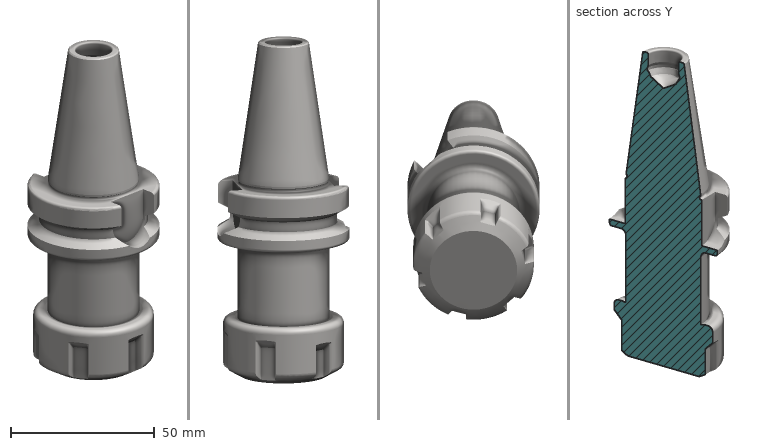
import cadquery as cq
import math


gauge_radius = 31.75 / 2
taper_length = 48.4
taper_slope = 7 / 48
tip_radius = gauge_radius - taper_slope * taper_length
tip_chamfer = 0.4
taper_land_bottom = -0.7
relief_radius = 15.4
relief_top = -1.0
relief_fillet = 0.7

flange_radius = 23.0
flange_top = -2.0
flange_bottom = -22.0
flange_fillet = 1.1

groove_center = -13.6
groove_floor_radius = 19.0
groove_floor_half_width = 1.75
groove_flank_angle = 30
groove_flank_height = (flange_radius - groove_floor_radius) * math.tan(math.radians(groove_flank_angle))
groove_half_width = groove_floor_half_width + groove_flank_height

drive_slot_width = 16.1
drive_slot_floor = 16.3
drive_slot_depth = 17.5

neck_radius = 16.0
neck_fillet = 2.0
bottom = -70.0

nut_radius = 21.0
nut_top = -49.4
nut_top_fillet = 2.1
nut_mouth_radius = 17.2
nut_mouth_depth = 0.3
nut_face_radius = 15.2
nut_cone_angle = 30
nut_cone_top = bottom + (nut_radius - nut_face_radius) * math.tan(math.radians(nut_cone_angle))
nut_bottom_fillet = 2.0

spanner_slot_count = 6
spanner_floor_radius = 17.8
spanner_floor_width = 5.2
spanner_wall_width = 6.4
spanner_bevel = 0.5
spanner_mouth_width = spanner_wall_width + 2 * spanner_bevel
spanner_bevel_top = math.sqrt(nut_radius**2 - (spanner_mouth_width / 2) ** 2)
spanner_long_drop = 7.5
spanner_short_drop = 9.3
spanner_end_angle = 45
spanner_cutter_overlap = 1.0
spanner_end_fillet = 0.6

bore_radius = 6.35
bore_mouth_fillet = 0.65
bore_groove_radius = 6.75
bore_groove_start = 4.8
bore_groove_full = 5.9
bore_depth = 7.0
core_radius = 5.25
center_half_angle = 30
drill_half_angle = 60


def make_body():
    """Revolve the taper, the grooved flange and the neck as one profile."""
    profile = (
        cq.Workplane("XZ")
        .moveTo(0, bottom)
        .lineTo(nut_face_radius, bottom)
        .lineTo(neck_radius, nut_top - nut_mouth_depth)
        .lineTo(neck_radius, flange_bottom - neck_fillet)
        .radiusArc((neck_radius + neck_fillet, flange_bottom), neck_fillet)
        .lineTo(flange_radius - flange_fillet, flange_bottom)
        .radiusArc((flange_radius, flange_bottom + flange_fillet), -flange_fillet)
        .lineTo(flange_radius, groove_center - groove_half_width)
        .lineTo(groove_floor_radius, groove_center - groove_floor_half_width)
        .lineTo(groove_floor_radius, groove_center + groove_floor_half_width)
        .lineTo(flange_radius, groove_center + groove_half_width)
        .lineTo(flange_radius, flange_top - flange_fillet)
        .radiusArc((flange_radius - flange_fillet, flange_top), -flange_fillet)
        .lineTo(relief_radius + relief_fillet, flange_top)
        .radiusArc((relief_radius, flange_top + relief_fillet), relief_fillet)
        .lineTo(relief_radius, relief_top)
        .lineTo(gauge_radius, taper_land_bottom)
        .lineTo(gauge_radius, 0)
        .lineTo(tip_radius + taper_slope * tip_chamfer, taper_length - tip_chamfer)
        .lineTo(tip_radius - tip_chamfer, taper_length)
        .lineTo(0, taper_length)
        .close()
    )
    return profile.revolve(360, (0, 0, 0), (0, 1, 0))


def make_nut():
    """Revolve the nut, then round its top edge and its lower shoulder."""
    outline = [
        (0, bottom),
        (nut_face_radius, bottom),
        (nut_radius, nut_cone_top),
        (nut_radius, nut_top),
        (nut_mouth_radius, nut_top),
        (neck_radius, nut_top - nut_mouth_depth),
        (0, nut_top - nut_mouth_depth),
    ]
    nut = cq.Workplane("XZ").polyline(outline).close().revolve(360, (0, 0, 0), (0, 1, 0))
    widest = cq.selectors.RadiusNthSelector(-1)
    nut = nut.edges("%CIRCLE").edges(widest).edges("<Z").fillet(nut_bottom_fillet)
    return nut.faces(">Z").edges("%CIRCLE").edges(widest).fillet(nut_top_fillet)


def make_spanner_slot(drop):
    """Cutter for a spanner slot on the +X side: tapered walls, bevelled edges, sloping rounded end."""
    outer = nut_radius + spanner_cutter_overlap
    bevel_start = spanner_bevel_top - spanner_bevel
    outer_half_width = spanner_mouth_width / 2 + outer - spanner_bevel_top
    section = [
        (spanner_floor_radius, -spanner_floor_width / 2),
        (bevel_start, -spanner_wall_width / 2),
        (outer, -outer_half_width),
        (outer, outer_half_width),
        (bevel_start, spanner_wall_width / 2),
        (spanner_floor_radius, spanner_floor_width / 2),
    ]
    cutter = cq.Workplane("XY").workplane(offset=bottom).polyline(section).close().extrude(nut_top - bottom)
    end_height = nut_top - drop
    end_rise = (outer - spanner_floor_radius) * math.tan(math.radians(spanner_end_angle))
    side = [
        (spanner_floor_radius, bottom),
        (outer, bottom),
        (outer, end_height + end_rise),
        (spanner_floor_radius, end_height),
    ]
    end_trim = cq.Workplane("XZ").polyline(side).close().extrude(outer_half_width, both=True)
    cutter = cutter.intersect(end_trim)
    end_face = cq.selectors.NearestToPointSelector((spanner_bevel_top, 0, end_height + end_rise))
    return cutter.faces(end_face).edges("not |Y").fillet(spanner_end_fillet)


def cut_spanner_slots(nut):
    """Cut the ring of slots; those on the +X half reach higher than those on the -X half."""
    for index in range(spanner_slot_count):
        angle = index * 360 / spanner_slot_count
        on_plus_x_half = math.cos(math.radians(angle)) > 0
        drop = spanner_long_drop if on_plus_x_half else spanner_short_drop
        nut = nut.cut(make_spanner_slot(drop).rotate((0, 0, 0), (0, 0, 1), angle))
    return nut


def make_drive_slot(side):
    """Cutter for one round-ended drive slot; side is 1 for +X and -1 for -X."""
    end_radius = drive_slot_width / 2
    end_center = flange_top - drive_slot_depth + end_radius
    return (
        cq.Workplane("YZ")
        .workplane(offset=side * drive_slot_floor)
        .moveTo(-end_radius, flange_top)
        .lineTo(-end_radius, end_center)
        .threePointArc((0, end_center - end_radius), (end_radius, end_center))
        .lineTo(end_radius, flange_top)
        .close()
        .extrude(side * (flange_radius - drive_slot_floor))
    )


def make_bore():
    """Cutter for the tip bore: rounded mouth, cylinder, undercut, centring cone and drill point."""
    floor = taper_length - bore_depth
    core_top = floor - (bore_radius - core_radius) / math.tan(math.radians(center_half_angle))
    point = core_top - core_radius / math.tan(math.radians(drill_half_angle))
    profile = (
        cq.Workplane("XZ")
        .moveTo(0, taper_length)
        .lineTo(bore_radius + bore_mouth_fillet, taper_length)
        .radiusArc((bore_radius, taper_length - bore_mouth_fillet), -bore_mouth_fillet)
        .lineTo(bore_radius, taper_length - bore_groove_start)
        .lineTo(bore_groove_radius, taper_length - bore_groove_full)
        .lineTo(bore_groove_radius, floor)
        .lineTo(bore_radius, floor)
        .lineTo(core_radius, core_top)
        .lineTo(0, point)
        .close()
    )
    return profile.revolve(360, (0, 0, 0), (0, 1, 0))


result = make_body().union(cut_spanner_slots(make_nut()))
for slot_side in (1, -1):
    result = result.cut(make_drive_slot(slot_side))
result = result.cut(make_bore())